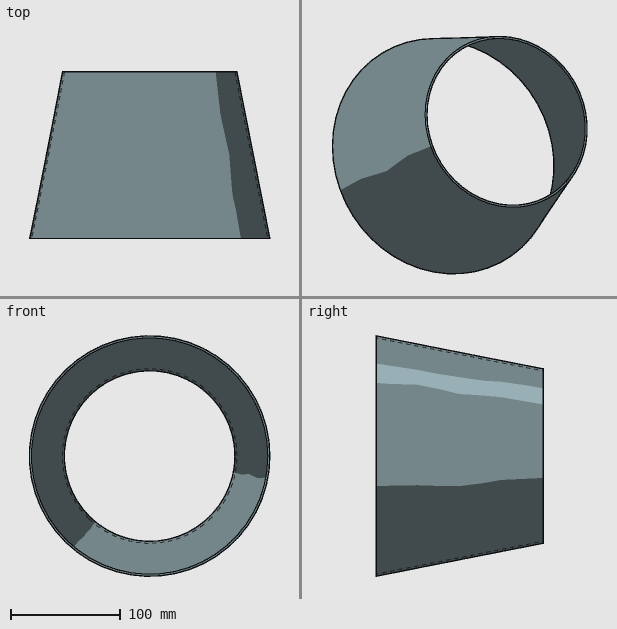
import cadquery as cq

large_diameter = 219.1
small_diameter = 159.0
length = 152.0
wall_thickness = 2.0

large_radius = large_diameter / 2
small_radius = small_diameter / 2


def conical_shell():
    """Revolve the slanted wall section about Y, with the large end at Y = 0."""
    wall_section = (
        cq.Workplane("XY")
        .moveTo(large_radius - wall_thickness, 0)
        .lineTo(large_radius, 0)
        .lineTo(small_radius, length)
        .lineTo(small_radius - wall_thickness, length)
        .close()
    )
    return wall_section.revolve(360, (0, 0, 0), (0, 1, 0))


result = conical_shell()